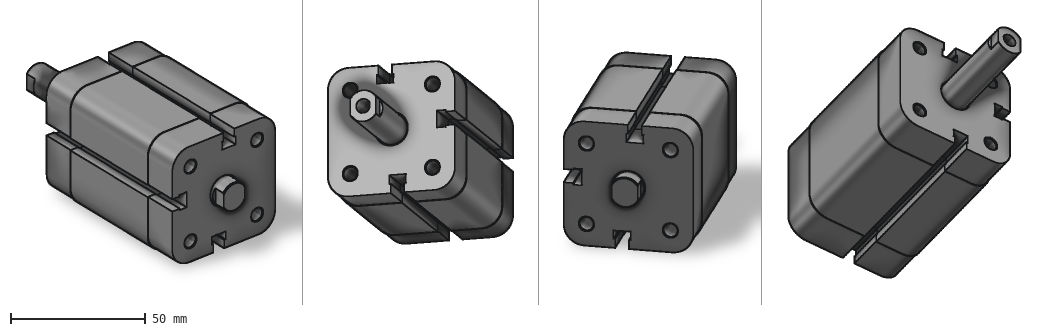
import cadquery as cq
import math


total_length = 116.5
rod_front_reach = 36.0
cap_length = 14.3
tube_length = 45.7

tube_side = 50.0
cap_side = 49.5
corner_radius = 8.0

bolt_pitch = 32.0
bolt_diameter = 5.2
bolt_chamfer = 0.3

slot_offset = 2.5
slot_neck_width = 5.2
slot_floor_width = 6.5
slot_floor_depth = 7.2
slot_neck_depth = 3.8
slot_angles = (0, -90, 180)

rod_diameter = 12.0
rod_seat_chamfer = 0.5
rod_tip_chamfer = 0.3
flat_width = 10.0
flat_length = 4.9
flat_runout = 0.5
rod_hole_diameter = 5.4
rod_hole_depth = 14.0
drill_point_angle = 118.0

front_cap_start = -total_length / 2 + rod_front_reach
tube_start = front_cap_start + cap_length
tube_end = tube_start + tube_length
rear_cap_end = tube_end + cap_length
rod_front = -total_length / 2


def slot_cutter(start, length):
    """Prism of one slot, open towards -Z and running along X."""
    face = -tube_side / 2
    floor_height = slot_floor_depth - slot_neck_depth
    neck = cq.Workplane("XY").box(length, slot_neck_width, slot_floor_depth, centered=(False, True, False))
    floor = (
        cq.Workplane("XY")
        .box(length, slot_floor_width, floor_height, centered=(False, True, False))
        .translate((0, 0, slot_neck_depth))
    )
    return neck.union(floor).translate((start, -slot_offset, face))


def slotted_block(side, start, length):
    """Square block with rounded long edges, bolt holes, rod bore and slots."""
    block = cq.Workplane("YZ", origin=(start, 0, 0)).rect(side, side).extrude(length)
    block = block.edges("|X").fillet(corner_radius)
    bolt_holes = (
        cq.Workplane("YZ", origin=(start, 0, 0))
        .rect(bolt_pitch, bolt_pitch, forConstruction=True)
        .vertices()
        .circle(bolt_diameter / 2)
        .extrude(length)
    )
    rod_bore = cq.Workplane("YZ", origin=(start, 0, 0)).circle(rod_diameter / 2).extrude(length)
    block = block.cut(bolt_holes).cut(rod_bore)
    for angle in slot_angles:
        block = block.cut(slot_cutter(start, length).rotate((0, 0, 0), (1, 0, 0), angle))
    return block


def chamfer_cone(diameter, chamfer, face_x, inward):
    """Cone that chamfers a hole along X at the face, tapering in the inward direction."""
    radius = diameter / 2
    return cq.Workplane(
        cq.Solid.makeCone(radius + chamfer, radius, chamfer, cq.Vector(face_x, 0, 0), cq.Vector(inward, 0, 0))
    )


def make_end_cap(start, outer_face, inward):
    """End cap whose bolt holes and rod bore are chamfered on the outer face."""
    cap = slotted_block(cap_side, start, cap_length)
    cap = cap.cut(chamfer_cone(rod_diameter, rod_seat_chamfer, outer_face, inward))
    bolt_cone = chamfer_cone(bolt_diameter, bolt_chamfer, outer_face, inward)
    for y in (-bolt_pitch / 2, bolt_pitch / 2):
        for z in (-bolt_pitch / 2, bolt_pitch / 2):
            cap = cap.cut(bolt_cone.translate((0, y, z)))
    return cap


def flat_cutter():
    """Prism that cuts the front flat on the -Y side of the rod, with its sloped end."""
    inner = -flat_width / 2
    outer = -rod_diameter / 2
    flat_end = rod_front + flat_length
    return (
        cq.Workplane("XY", origin=(0, 0, -rod_diameter / 2))
        .moveTo(rod_front, inner)
        .lineTo(flat_end, inner)
        .lineTo(flat_end + flat_runout, outer)
        .lineTo(rod_front, outer)
        .close()
        .extrude(rod_diameter)
    )


def make_rod():
    """Piston rod with flats at both ends and a drilled hole in the front end."""
    rod = cq.Workplane("YZ", origin=(rod_front, 0, 0)).circle(rod_diameter / 2).extrude(total_length)
    rod = rod.faces(">X").chamfer(rod_tip_chamfer)

    front_flat = flat_cutter()
    rear_flat = front_flat.mirror("YZ")
    for flat in (front_flat, rear_flat):
        rod = rod.cut(flat).cut(flat.mirror("XZ"))

    hole_radius = rod_hole_diameter / 2
    point_length = hole_radius / math.tan(math.radians(drill_point_angle / 2))
    hole = (
        cq.Workplane("XY")
        .moveTo(rod_front, 0)
        .lineTo(rod_front, hole_radius)
        .lineTo(rod_front + rod_hole_depth, hole_radius)
        .lineTo(rod_front + rod_hole_depth + point_length, 0)
        .close()
        .revolve(360, (0, 0, 0), (1, 0, 0))
    )
    return rod.cut(hole)


tube = slotted_block(tube_side, tube_start, tube_length)
end_caps = [
    make_end_cap(start, outer_face, inward)
    for start, outer_face, inward in (
        (front_cap_start, front_cap_start, 1),
        (tube_end, rear_cap_end, -1),
    )
]
rod = make_rod()

result = cq.Compound.makeCompound([tube.val(), *[cap.val() for cap in end_caps], rod.val()])